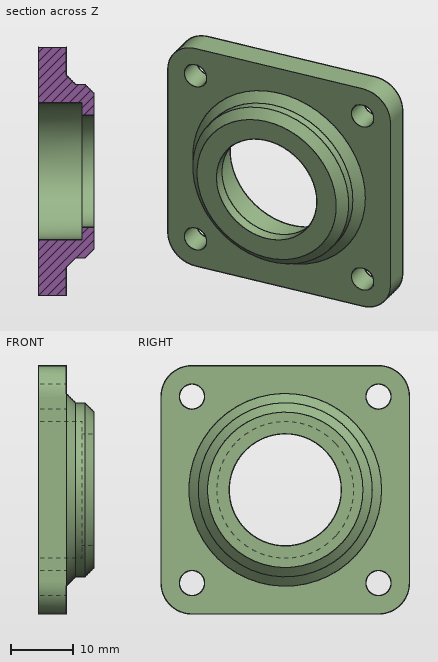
import cadquery as cq

flange_side = 40.0
total_depth = 9.0
flange_thickness = total_depth / 2
corner_radius = 5.0
bolt_spacing = flange_side - 2 * corner_radius
bolt_hole_diameter = 4.0

collar_radius = 28.0 / 2
collar_step = (total_depth - flange_thickness) / 3
foot_radius = collar_radius + collar_step
rim_radius = collar_radius - collar_step

seat_diameter = 22.0
seat_depth = 7.0
bore_diameter = 18.0


def make_flange():
    """Rounded square plate with a bolt hole centred on each corner arc."""
    plate = (
        cq.Workplane("YZ")
        .rect(flange_side, flange_side)
        .extrude(flange_thickness)
        .edges("|X")
        .fillet(corner_radius)
    )
    holes = (
        cq.Workplane("YZ")
        .rect(bolt_spacing, bolt_spacing, forConstruction=True)
        .vertices()
        .circle(bolt_hole_diameter / 2)
        .extrude(flange_thickness)
    )
    return plate.cut(holes)


def make_collar():
    """Collar profile (X along the axis, Y as radius) revolved about X."""
    return (
        cq.Workplane("XY")
        .moveTo(0, 0)
        .lineTo(0, foot_radius)
        .lineTo(flange_thickness, foot_radius)
        .lineTo(flange_thickness + collar_step, collar_radius)
        .lineTo(total_depth - collar_step, collar_radius)
        .lineTo(total_depth, rim_radius)
        .lineTo(total_depth, 0)
        .close()
        .revolve(360, (0, 0, 0), (1, 0, 0))
    )


def make_bore():
    """Seat and through bore as a single cutting body."""
    seat = cq.Workplane("YZ").circle(seat_diameter / 2).extrude(seat_depth)
    through = cq.Workplane("YZ").circle(bore_diameter / 2).extrude(total_depth)
    return seat.union(through)


result = make_flange().union(make_collar()).cut(make_bore())